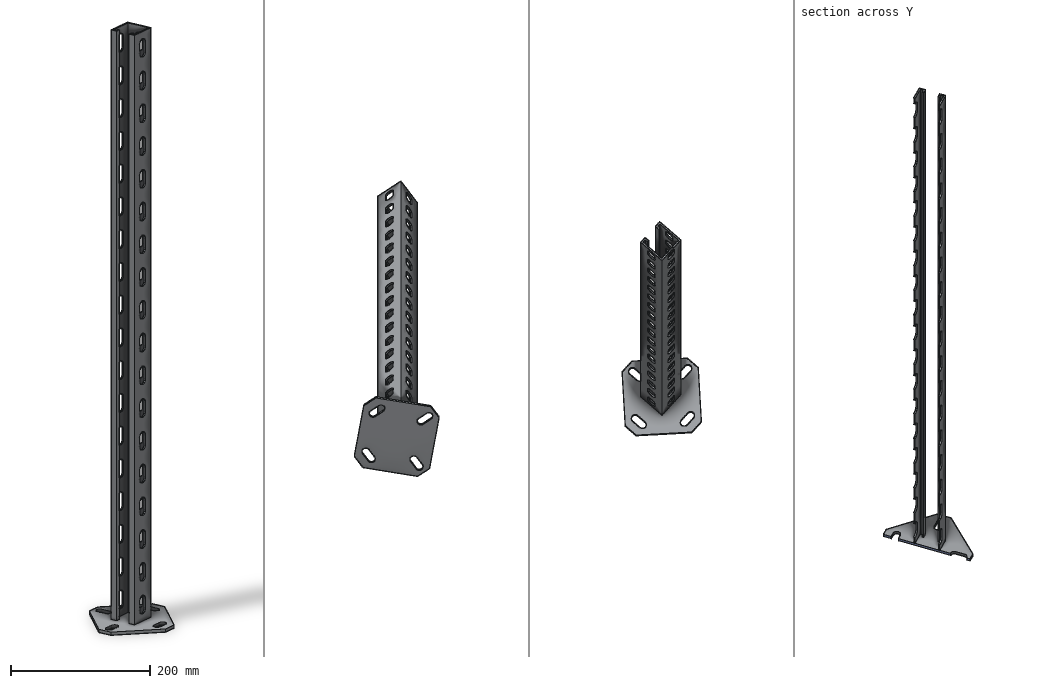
import cadquery as cq

PLATE_SIDE = 110
PLATE_CORNER_CUT = 15
PLATE_THICKNESS = 5
PLATE_SLOT_LENGTH = 25
PLATE_SLOT_WIDTH = 11
PLATE_SLOT_RADIUS = 49.5

CHANNEL_SIZE = 41
CHANNEL_OPENING = 22
CHANNEL_LIP_DEPTH = 7
CHANNEL_WALL = 2.5
CHANNEL_LENGTH = 900
CHANNEL_CENTER_Y = -1.75

SLOT_PITCH = 50
SLOT_COUNT = CHANNEL_LENGTH // SLOT_PITCH
SLOT_LENGTH = 28
SLOT_WIDTH = 14


def make_plate():
    """Octagonal plate with its underside at Z = 0 and one slot in each corner."""
    plate = (
        cq.Workplane("XY")
        .rect(PLATE_SIDE, PLATE_SIDE)
        .extrude(PLATE_THICKNESS)
        .edges("|Z")
        .chamfer(PLATE_CORNER_CUT)
        .rotate((0, 0, 0), (0, 0, 1), 45)
    )
    slots = (
        ((-PLATE_SLOT_RADIUS, 0), 0),
        ((0, -PLATE_SLOT_RADIUS), 90),
        ((PLATE_SLOT_RADIUS, 0), 90),
        ((0, PLATE_SLOT_RADIUS), 0),
    )
    for center, angle in slots:
        slot = (
            cq.Workplane("XY")
            .center(*center)
            .slot2D(PLATE_SLOT_LENGTH, PLATE_SLOT_WIDTH, angle)
            .extrude(PLATE_THICKNESS)
        )
        plate = plate.cut(slot)
    return plate


def bar_on_plate(size_x, size_y, center_y):
    """Full-length bar standing on the plate, centered on X = 0."""
    return (
        cq.Workplane("XY", origin=(0, center_y, PLATE_THICKNESS))
        .rect(size_x, size_y)
        .extrude(CHANNEL_LENGTH)
    )


def unslotted_channel():
    """Unslotted channel with sharp corners and lips that turn back into the cavity."""
    inner_size = CHANNEL_SIZE - 2 * CHANNEL_WALL
    lip_outer_width = CHANNEL_OPENING + 2 * CHANNEL_WALL
    front_y = CHANNEL_CENTER_Y - CHANNEL_SIZE / 2

    tube = bar_on_plate(CHANNEL_SIZE, CHANNEL_SIZE, CHANNEL_CENTER_Y)
    cavity = bar_on_plate(inner_size, inner_size, CHANNEL_CENTER_Y)

    lips = bar_on_plate(lip_outer_width, CHANNEL_LIP_DEPTH, front_y + CHANNEL_LIP_DEPTH / 2)
    opening = bar_on_plate(CHANNEL_OPENING, 2 * CHANNEL_LIP_DEPTH, front_y)
    return tube.cut(cavity).union(lips).cut(opening)


def slot_row(plane, origin, depth):
    """Cutters for one row of upright slots, evenly spaced along the channel."""
    first_z = PLATE_THICKNESS + SLOT_PITCH / 2
    centers = [(0, first_z + index * SLOT_PITCH) for index in range(SLOT_COUNT)]
    return (
        cq.Workplane(plane, origin=origin)
        .pushPoints(centers)
        .slot2D(SLOT_LENGTH, SLOT_WIDTH, 90)
        .extrude(depth, both=True)
    )


def make_channel():
    """Slotted channel standing on the plate."""
    back_y = CHANNEL_CENTER_Y + CHANNEL_SIZE / 2
    web_slots = slot_row("XZ", (0, back_y, 0), 2 * CHANNEL_WALL)
    side_slots = slot_row("YZ", (0, CHANNEL_CENTER_Y, 0), CHANNEL_SIZE)
    return unslotted_channel().cut(web_slots).cut(side_slots)


plate = make_plate()
channel = make_channel()

result = cq.Compound.makeCompound([plate.val(), channel.val()])